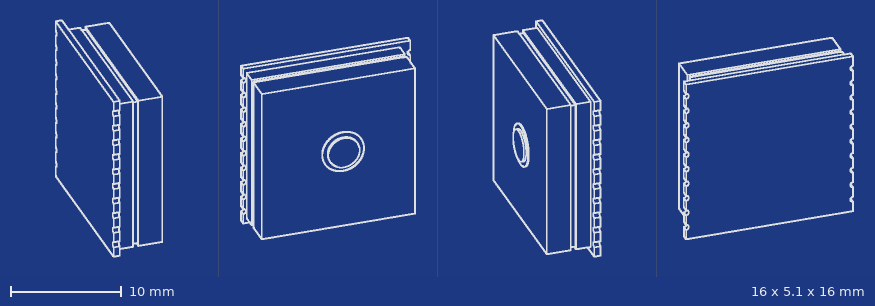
import cadquery as cq

plate_size = 16.0
plate_thickness = 0.6

notch_radius = 0.25
notch_pitch = 1.5
notch_count = 10

housing_width = 14.67
housing_height = 15.0
housing_offset_x = 0.34
lower_thickness = 1.4
neck_thickness = 0.5
upper_thickness = 2.3
neck_inset = 0.2

button_x = -0.1
button_z = 0.2
flange_diameter = 4.0
flange_thickness = 0.1
cap_diameter = 3.0
cap_thickness = 0.2

neck_start = plate_thickness + lower_thickness
upper_start = neck_start + neck_thickness
housing_back = upper_start + upper_thickness
flange_back = housing_back + flange_thickness


def block(width, height, start, thickness, center_x=0.0):
    """Rectangular layer centered on Z = 0, growing toward +Y from start."""
    return cq.Workplane("XY").box(width, thickness, height, centered=(True, False, True)).translate(
        (center_x, start, 0)
    )


def disc(diameter, start, thickness, x, z):
    """Round layer along Y, growing toward +Y from start."""
    axis = cq.Vector(0, 1, 0)
    return cq.Workplane(cq.Solid.makeCylinder(diameter / 2, thickness, cq.Vector(x, start, z), axis))


def notched_plate():
    plate = block(plate_size, plate_size, 0, plate_thickness)
    first_z = -notch_pitch * (notch_count - 1) / 2
    for index in range(notch_count):
        notch_z = first_z + index * notch_pitch
        for side in (-1, 1):
            edge_x = side * plate_size / 2
            plate = plate.cut(disc(2 * notch_radius, 0, plate_thickness, edge_x, notch_z))
    return plate


def housing():
    neck_width = housing_width - 2 * neck_inset
    neck_height = housing_height - 2 * neck_inset
    lower = block(housing_width, housing_height, plate_thickness, lower_thickness, housing_offset_x)
    neck = block(neck_width, neck_height, neck_start, neck_thickness, housing_offset_x)
    upper = block(housing_width, housing_height, upper_start, upper_thickness, housing_offset_x)
    return lower.union(neck).union(upper)


def button():
    flange = disc(flange_diameter, housing_back, flange_thickness, button_x, button_z)
    cap = disc(cap_diameter, flange_back, cap_thickness, button_x, button_z)
    return flange.union(cap)


result = notched_plate().union(housing()).union(button())